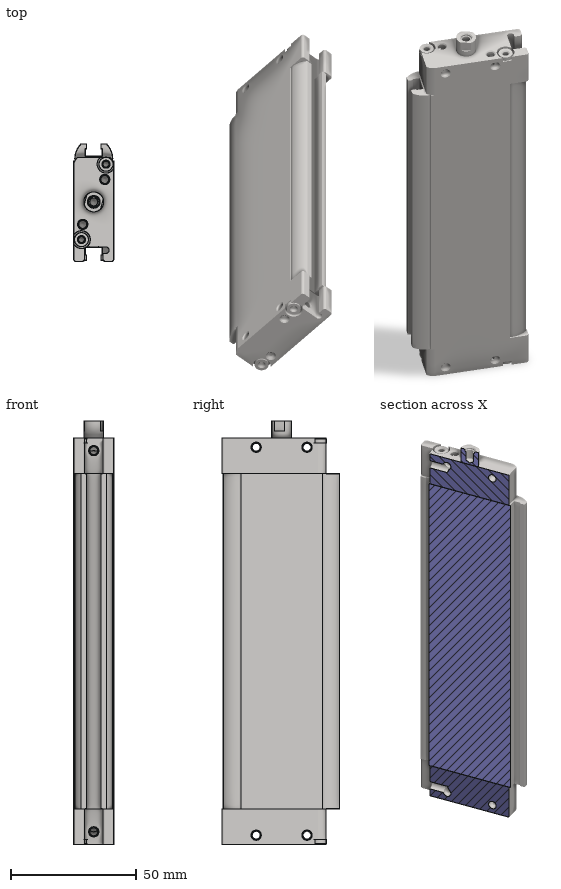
import cadquery as cq
import math


width = 16.0
total_height = 169.0
connector_height = 6.8
cap_height = 14.2

half_width = width / 2
cap_top_z = total_height - connector_height
cap_base_z = cap_top_z - cap_height
mid_z = cap_top_z / 2
profile_height = cap_top_z - 2 * cap_height

profile_front_y = -23.3
profile_rear_y = 23.2
groove_x = 3.4
groove_floor_y = 18.3
lip_x = 2.9
lip_y = 21.1
jaw_tip_x = 5.0
jaw_root_x = 7.6
jaw_root_y = 17.2
jaw_bulge = 0.7
step_x = 7.5
step_y = 16.2

cap_front_y = -23.8
cap_rear_y = 17.7
cap_groove_x = 3.7
cap_groove_floor_y = -17.9
groove_corner_radius = 0.8
arm_corner_radius = 1.0
rear_corner_start_y = 14.7
rear_corner_inset = 1.5
rear_corner_bulge = 0.3
scoop_diameter = 2.7
scoop_x = 4.7

tap_diameter = 3.2
tap_mouth_diameter = 4.0
cross_hole_y = 10.1
cross_hole_inset = 3.7
groove_hole_inset = 5.0
groove_hole_depth = 7.8
face_hole_x = 4.4
face_hole_y = 9.0
face_hole_depth = 6.8

screw_x = 4.9
screw_y = 15.0
screw_head_diameter = 5.5
screw_head_inset = 0.3
screw_recess_diameter = 7.1
screw_recess_depth = 2.0
socket_mouth_diameter = 3.2
socket_diameter = 2.4
socket_depth = 3.4

connector_diameter = 8.0
connector_mouth_diameter = 5.0
connector_bore_diameter = 4.2
connector_bore_depth = 1.0
connector_pilot_diameter = 3.2
connector_pilot_depth = 5.0
across_flats = 6.8
flat_height = 4.0
flat_angle = 15.0

drill_point_angle = 118.0


def disc(diameter, height, x, y, base_z):
    """Upright cylinder standing on base_z."""
    return cq.Workplane("XY", origin=(x, y, base_z)).circle(diameter / 2).extrude(height)


def blind_hole(steps, point, direction):
    """Cutter for a drilled hole that opens at point and faces direction.

    steps lists (diameter, depth) pairs from the mouth down; a drill point ends the hole.
    """
    wall = [(diameter / 2, -depth) for diameter, depth in steps]
    end_radius, end_z = wall[-1]
    tip_z = end_z - end_radius / math.tan(math.radians(drill_point_angle / 2))
    cutter = (
        cq.Workplane("XZ")
        .polyline([(0, 0), *wall, (0, tip_z)])
        .close()
        .revolve(360, (0, 0, 0), (0, 1, 0))
    )
    plane = cq.Plane(origin=point, normal=direction)
    return cq.Workplane(obj=cutter.val().moved(cq.Location(plane)))


def chamfered_steps(diameter, mouth_diameter, depth):
    """Hole steps for a straight bore with a 45 degree chamfer at its mouth."""
    chamfer = (mouth_diameter - diameter) / 2
    return [(mouth_diameter, 0), (diameter, chamfer), (diameter, depth)]


def make_profile():
    """Extruded housing with a pair of curved jaws along its front and its rear edge."""
    jaw_mid_x = (jaw_root_x + jaw_tip_x) / 2 + jaw_bulge
    front_mid_y = (profile_front_y - jaw_root_y) / 2
    rear_mid_y = (profile_rear_y + jaw_root_y) / 2
    return (
        cq.Workplane("XY", origin=(0, 0, cap_height))
        .moveTo(0, -groove_floor_y)
        .lineTo(groove_x, -groove_floor_y)
        .lineTo(groove_x, -lip_y)
        .lineTo(lip_x, -lip_y)
        .lineTo(lip_x, profile_front_y)
        .lineTo(jaw_tip_x, profile_front_y)
        .threePointArc((jaw_mid_x, front_mid_y), (jaw_root_x, -jaw_root_y))
        .lineTo(step_x, -step_y)
        .lineTo(half_width, -step_y)
        .lineTo(half_width, step_y)
        .lineTo(step_x, step_y)
        .lineTo(jaw_root_x, jaw_root_y)
        .threePointArc((jaw_mid_x, rear_mid_y), (jaw_tip_x, profile_rear_y))
        .lineTo(lip_x, profile_rear_y)
        .lineTo(lip_x, lip_y)
        .lineTo(groove_x, lip_y)
        .lineTo(groove_x, groove_floor_y)
        .lineTo(0, groove_floor_y)
        .mirrorY()
        .extrude(profile_height)
    )


def make_cap_block():
    """Top cap without holes: a block with two front arms and a scoop in the +X arm."""
    corner_mid_x = half_width - rear_corner_inset / 2 + rear_corner_bulge
    corner_mid_y = (rear_corner_start_y + cap_rear_y) / 2
    block = (
        cq.Workplane("XY", origin=(0, 0, cap_base_z))
        .moveTo(0, cap_groove_floor_y)
        .lineTo(cap_groove_x, cap_groove_floor_y)
        .lineTo(cap_groove_x, cap_front_y)
        .lineTo(half_width, cap_front_y)
        .lineTo(half_width, rear_corner_start_y)
        .threePointArc((corner_mid_x, corner_mid_y), (half_width - rear_corner_inset, cap_rear_y))
        .lineTo(0, cap_rear_y)
        .mirrorY()
        .extrude(cap_height)
    )
    block = block.faces("<Y").edges("|Z").fillet(arm_corner_radius)
    groove_corner = cq.NearestToPointSelector(
        (-cap_groove_x, cap_groove_floor_y, cap_base_z + cap_height / 2)
    )
    block = block.edges("|Z").edges(groove_corner).fillet(groove_corner_radius)

    scoop_y = cap_groove_floor_y - scoop_diameter / 2
    scoop_mouth = (
        cq.Workplane("XY", origin=(scoop_x / 2, scoop_y, cap_base_z))
        .rect(scoop_x, scoop_diameter)
        .extrude(cap_height)
    )
    scoop_end = disc(scoop_diameter, cap_height, scoop_x, scoop_y, cap_base_z)
    return block.cut(scoop_mouth.union(scoop_end))


def add_screw_head(cap, x, y):
    """Recess with a slightly sunk screw head in it, open to the nearby walls."""
    recess_z = cap_top_z - screw_recess_depth
    head_height = screw_recess_depth - screw_head_inset
    socket = blind_hole(
        chamfered_steps(socket_diameter, socket_mouth_diameter, socket_depth),
        (x, y, cap_top_z - screw_head_inset),
        (0, 0, 1),
    )
    return (
        cap.cut(disc(screw_recess_diameter, screw_recess_depth, x, y, recess_z))
        .union(disc(screw_head_diameter, head_height, x, y, recess_z))
        .cut(socket)
    )


def cut_tapped_hole(cap, depth, point, direction):
    return cap.cut(blind_hole(chamfered_steps(tap_diameter, tap_mouth_diameter, depth), point, direction))


def make_top_cap():
    cap = make_cap_block()
    cross_hole_z = cap_top_z - cross_hole_inset
    for sign in (1, -1):
        cap = add_screw_head(cap, sign * screw_x, sign * screw_y)
        face_point = (sign * face_hole_x, sign * face_hole_y, cap_top_z)
        cap = cut_tapped_hole(cap, face_hole_depth, face_point, (0, 0, 1))
        for side in (1, -1):
            side_point = (side * half_width, sign * cross_hole_y, cross_hole_z)
            cap = cut_tapped_hole(cap, half_width, side_point, (side, 0, 0))
    groove_point = (0, cap_groove_floor_y, cap_top_z - groove_hole_inset)
    return cut_tapped_hole(cap, groove_hole_depth, groove_point, (0, -1, 0))


def make_connector():
    """Round stub with two wrench flats at its top and a stepped bore."""
    lower = disc(connector_diameter, connector_height - flat_height, 0, 0, cap_top_z)
    flats = (
        cq.Workplane("XY", origin=(0, 0, total_height - flat_height))
        .rect(across_flats, connector_diameter)
        .extrude(flat_height)
        .rotate((0, 0, 0), (0, 0, 1), -flat_angle)
    )
    upper = disc(connector_diameter, flat_height, 0, 0, total_height - flat_height).intersect(flats)
    bore = blind_hole(
        [
            *chamfered_steps(connector_bore_diameter, connector_mouth_diameter, connector_bore_depth),
            (connector_pilot_diameter, connector_bore_depth),
            (connector_pilot_diameter, connector_pilot_depth),
        ],
        (0, 0, total_height),
        (0, 0, 1),
    )
    return lower.union(upper).cut(bore)


profile = make_profile()
top_cap = make_top_cap()
bottom_cap = top_cap.mirror("XY", (0, 0, mid_z))
connector = make_connector()

result = cq.Compound.makeCompound(
    [profile.val(), top_cap.val(), bottom_cap.val(), connector.val()]
)